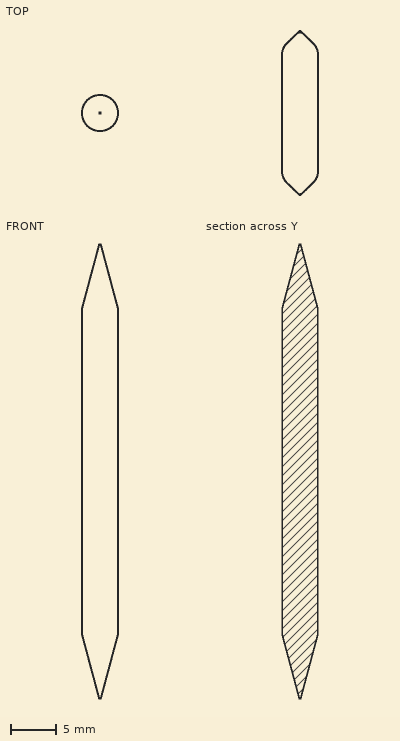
import cadquery as cq
import math

total_length = 50.0
body_radius = 2.0
tip_radius = 0.1
cone_half_angle = 15.0

cone_length = (body_radius - tip_radius) / math.tan(math.radians(cone_half_angle))
half_length = total_length / 2
shoulder_z = half_length - cone_length


def double_pointed_pin():
    """Round pin along Z, centred on the origin, with a cone at each end."""
    half_profile = [
        (0, -half_length),
        (tip_radius, -half_length),
        (body_radius, -shoulder_z),
        (body_radius, shoulder_z),
        (tip_radius, half_length),
        (0, half_length),
    ]
    return cq.Workplane("XZ").polyline(half_profile).close().revolve(360, (0, 0, 0), (0, 1, 0))


result = double_pointed_pin()